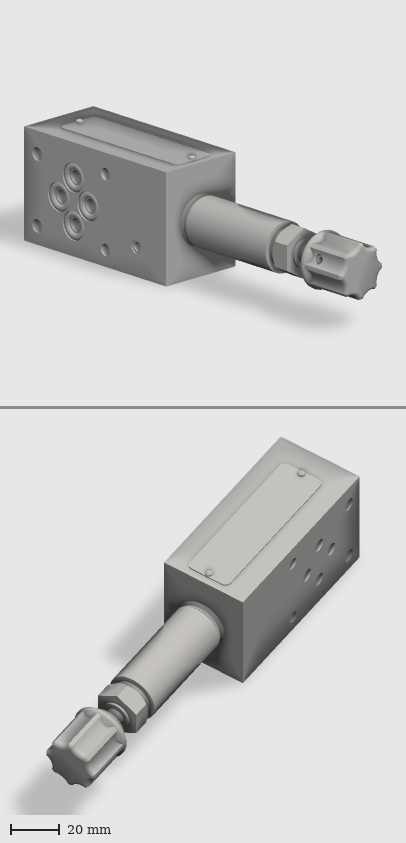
import cadquery as cq
import math

TOTAL_LENGTH = 180.9
BLOCK_LENGTH = 84.5
BLOCK_DEPTH = 39.0
BLOCK_HEIGHT = 49.0
AXIS_Y = 19.0
AXIS_Z = BLOCK_HEIGHT / 2

BOLT_X = 7.8
LEFT_BOLT_DIAMETER = 5.8
LEFT_BOLT_PITCH = 31.0
RIGHT_BOLT_DIAMETER = 5.2
RIGHT_BOLT_PITCH = 32.5
BOLT_SPACING = 40.5
BOLT_CENTRE_Z = 23.5

PORT_CENTRE_Z = BOLT_CENTRE_Z
PORT_CENTRE_FROM_BOLT = 21.5
PORT_CENTRE_X = BOLT_X + PORT_CENTRE_FROM_BOLT
PORT_OFFSET_X = 8.7
PORT_OFFSET_Z = 10.3
PORT_DIAMETER = 5.8
SEAT_DIAMETER = 12.7
SEAL_INNER_DIAMETER = 6.9
SEAT_DEPTH = 1.5
SEAL_SETBACK = 0.2
SEAL_CROWN = 0.7

PILOT_X = 66.8
PILOT_Z = 12.8
PILOT_DIAMETER = 5.8
PILOT_DEPTH = 0.5
PILOT_DRILL_DIAMETER = 4.0
PILOT_DRILL_DEPTH = 4.5
PILOT_DISH_DEPTH = 1.0

PLATE_LENGTH = 70.0
PLATE_WIDTH = 20.0
PLATE_THICKNESS = 0.5
PLATE_CORNER_RADIUS = 2.5
PLATE_CENTRE_X = 46.3
RIVET_DIAMETER = 3.0
RIVET_HEIGHT = 2.0
RIVET_SHOULDER = 1.3

COLLAR_NECK_DIAMETER = 19.9
COLLAR_TAPER_LENGTH = 1.3
SLEEVE_DIAMETER = 22.0
COLLAR_DIAMETER = SLEEVE_DIAMETER
SLEEVE_START = 88.1
SLEEVE_END = 135.1
NECK_RING_DIAMETER = 21.0
NECK_RING_START = 86.8
NECK_RING_LENGTH = 0.7
SLEEVE_NECK_DIAMETER = 17.4

NUT_START = 137.5
NUT_END = 146.2
NUT_ACROSS_FLATS = 19.0
NUT_FACE_DIAMETER = 18.8
WASHER_DIAMETER = 12.3
WASHER_THICKNESS = 1.0
SPINDLE_DIAMETER = 8.0

KNOB_START = 153.5
KNOB_FACE_DIAMETER = 17.4
FLANGE_DIAMETER = 25.0
FLANGE_START = 157.4
FLANGE_END = 158.8
FLANGE_ROUNDING = 1.0
GRIP_DIAMETER = 24.0
GRIP_END_ROUNDING = 1.6
RIB_COUNT = 8
RIB_WIDTH = 2.0
FLUTE_DEPTH = 1.3
FACE_RECESS_DIAMETER = 15.5
FACE_RECESS_DEPTH = 4.5
HUB_DIAMETER = 10.0
HUB_SETBACK = 1.5

SCREW_X = 165.2
SCREW_HOLE_DIAMETER = 4.3
SCREW_HOLE_DEPTH = 0.9
SOCKET_DIAMETER = 2.4
SOCKET_DEPTH = 1.8


def rod(start, end, diameter):
    """Solid cylinder on the adjuster axis."""
    plane = cq.Workplane("YZ", origin=(start, AXIS_Y, AXIS_Z))
    return plane.circle(diameter / 2).extrude(end - start)


def turned(points):
    """Revolve an outline of (x, radius) points about the adjuster axis."""
    outline = cq.Workplane("XY", origin=(0, AXIS_Y, AXIS_Z)).polyline(points).close()
    return outline.revolve(360, (0, 0, 0), (1, 0, 0))


def bolt_hole(x, z, diameter):
    """Cylinder running through the block from front to back."""
    return cq.Workplane("XZ", origin=(x, 0, z)).circle(diameter / 2).extrude(-BLOCK_DEPTH)


def port_cutter(x, z):
    """Port bore and seal seat, leaving the crowned seal ring standing in the seat."""
    bore_radius = PORT_DIAMETER / 2
    inner_radius = SEAL_INNER_DIAMETER / 2
    outer_radius = SEAT_DIAMETER / 2
    crest_radius = (inner_radius + outer_radius) / 2
    ring_depth = SEAL_SETBACK + SEAL_CROWN
    outline = (
        cq.Workplane("XY", origin=(x, 0, z))
        .moveTo(0, 0)
        .lineTo(outer_radius, 0)
        .lineTo(outer_radius, ring_depth)
        .threePointArc((crest_radius, SEAL_SETBACK), (inner_radius, ring_depth))
        .lineTo(inner_radius, SEAT_DEPTH)
        .lineTo(bore_radius, SEAT_DEPTH)
        .lineTo(bore_radius, BLOCK_DEPTH)
        .lineTo(0, BLOCK_DEPTH)
        .close()
    )
    return outline.revolve(360, (0, 0, 0), (0, 1, 0))


def pilot_cutter():
    """Stepped blind hole with a dished bottom."""
    rim_radius = PILOT_DIAMETER / 2
    drill_radius = PILOT_DRILL_DIAMETER / 2
    dish_radius = (drill_radius ** 2 + PILOT_DISH_DEPTH ** 2) / (2 * PILOT_DISH_DEPTH)
    outline = (
        cq.Workplane("XY", origin=(PILOT_X, 0, PILOT_Z))
        .lineTo(rim_radius, 0)
        .lineTo(rim_radius, PILOT_DEPTH)
        .lineTo(drill_radius, PILOT_DEPTH)
        .lineTo(drill_radius, PILOT_DRILL_DEPTH)
        .radiusArc((0, PILOT_DRILL_DEPTH + PILOT_DISH_DEPTH), -dish_radius)
        .close()
    )
    return outline.revolve(360, (0, 0, 0), (0, 1, 0))


def make_block():
    block = cq.Workplane("XY").box(BLOCK_LENGTH, BLOCK_DEPTH, BLOCK_HEIGHT, centered=False)
    bolt_pairs = [
        (BOLT_X, LEFT_BOLT_PITCH, LEFT_BOLT_DIAMETER),
        (BOLT_X + BOLT_SPACING, RIGHT_BOLT_PITCH, RIGHT_BOLT_DIAMETER),
    ]
    for x, pitch, diameter in bolt_pairs:
        for side in (-1, 1):
            block = block.cut(bolt_hole(x, BOLT_CENTRE_Z + side * pitch / 2, diameter))
    for side in (-1, 1):
        block = block.cut(port_cutter(PORT_CENTRE_X + side * PORT_OFFSET_X, PORT_CENTRE_Z))
        block = block.cut(port_cutter(PORT_CENTRE_X, PORT_CENTRE_Z + side * PORT_OFFSET_Z))
    return block.cut(pilot_cutter())


def make_rivet(x):
    """Short pin with a domed head."""
    radius = RIVET_DIAMETER / 2
    dome_height = RIVET_HEIGHT - RIVET_SHOULDER
    dome_radius = (radius ** 2 + dome_height ** 2) / (2 * dome_height)
    outline = (
        cq.Workplane("XZ", origin=(x, AXIS_Y, BLOCK_HEIGHT))
        .lineTo(radius, 0)
        .lineTo(radius, RIVET_SHOULDER)
        .radiusArc((0, RIVET_HEIGHT), -dome_radius)
        .close()
    )
    return outline.revolve(360, (0, 0, 0), (0, 1, 0))


def make_name_plate():
    top = cq.Workplane("XY", origin=(PLATE_CENTRE_X, AXIS_Y, BLOCK_HEIGHT))
    plate = top.rect(PLATE_LENGTH, PLATE_WIDTH).extrude(PLATE_THICKNESS)
    plate = plate.edges("|Z").fillet(PLATE_CORNER_RADIUS)
    rivet_offset = (PLATE_LENGTH - RIVET_DIAMETER) / 2
    for side in (-1, 1):
        plate = plate.union(make_rivet(PLATE_CENTRE_X + side * rivet_offset))
    return plate


def make_sleeve():
    """Tapered collar, necked ring, long sleeve and the neck behind the nut."""
    collar = turned([
        (BLOCK_LENGTH, 0),
        (BLOCK_LENGTH, COLLAR_DIAMETER / 2),
        (BLOCK_LENGTH + COLLAR_TAPER_LENGTH, COLLAR_NECK_DIAMETER / 2),
        (SLEEVE_START, COLLAR_NECK_DIAMETER / 2),
        (SLEEVE_START, 0),
    ])
    ring = rod(NECK_RING_START, NECK_RING_START + NECK_RING_LENGTH, NECK_RING_DIAMETER)
    sleeve = rod(SLEEVE_START, SLEEVE_END, SLEEVE_DIAMETER)
    neck = rod(SLEEVE_END, NUT_START, SLEEVE_NECK_DIAMETER)
    return collar.union(ring).union(sleeve).union(neck)


def make_nut():
    """Hexagon nut with corners up and down, chamfered on the sleeve side."""
    across_corners = NUT_ACROSS_FLATS / math.cos(math.pi / 6)
    nut = (
        cq.Workplane("YZ", origin=(NUT_START, AXIS_Y, AXIS_Z))
        .transformed(rotate=(0, 0, 90))
        .polygon(6, across_corners)
        .extrude(NUT_END - NUT_START)
    )
    face_radius = NUT_FACE_DIAMETER / 2
    length = NUT_END - NUT_START
    envelope = turned([
        (NUT_START, 0),
        (NUT_START, face_radius),
        (NUT_END, face_radius + length),
        (NUT_END, 0),
    ])
    return nut.intersect(envelope)


def make_knob():
    grip_radius = GRIP_DIAMETER / 2
    flange_radius = FLANGE_DIAMETER / 2

    flange = turned([
        (KNOB_START, 0),
        (KNOB_START, KNOB_FACE_DIAMETER / 2),
        (FLANGE_START, flange_radius),
        (FLANGE_END, flange_radius),
        (FLANGE_END + flange_radius, 0),
    ])
    rims = flange.edges(cq.selectors.RadiusNthSelector(-1))
    flange = rims.fillet(FLANGE_ROUNDING)

    grip = rod(FLANGE_START, TOTAL_LENGTH, GRIP_DIAMETER)
    half_rib_angle = math.asin(RIB_WIDTH / GRIP_DIAMETER)
    half_flute_angle = math.pi / RIB_COUNT - half_rib_angle
    half_chord = grip_radius * math.sin(half_flute_angle)
    chord_height = grip_radius * math.cos(half_flute_angle)
    flute_floor = chord_height - FLUTE_DEPTH
    flute = (
        cq.Workplane("YZ", origin=(FLANGE_START, AXIS_Y, AXIS_Z))
        .moveTo(-half_chord, chord_height)
        .threePointArc((0, flute_floor), (half_chord, chord_height))
        .lineTo(half_chord, flange_radius)
        .lineTo(-half_chord, flange_radius)
        .close()
        .extrude(TOTAL_LENGTH - FLANGE_START)
    )
    axis_start = (0, AXIS_Y, AXIS_Z)
    axis_end = (1, AXIS_Y, AXIS_Z)
    pitch = 360 / RIB_COUNT
    for index in range(RIB_COUNT):
        grip = grip.cut(flute.rotate(axis_start, axis_end, (index + 0.5) * pitch))
    grip = grip.faces(">X").edges().fillet(GRIP_END_ROUNDING)
    knob = flange.union(grip)

    screw = (
        cq.Workplane("XY", origin=(SCREW_X, AXIS_Y, AXIS_Z + flute_floor - SCREW_HOLE_DEPTH))
        .circle(SCREW_HOLE_DIAMETER / 2)
        .extrude(flange_radius - flute_floor + SCREW_HOLE_DEPTH)
        .faces("<Z")
        .workplane()
        .circle(SOCKET_DIAMETER / 2)
        .extrude(SOCKET_DEPTH)
    )
    knob = knob.cut(screw.rotate(axis_start, axis_end, 90 - pitch / 2))

    recess_floor = KNOB_START + FACE_RECESS_DEPTH
    recess = rod(KNOB_START, recess_floor, FACE_RECESS_DIAMETER)
    hub = rod(KNOB_START + HUB_SETBACK, recess_floor, HUB_DIAMETER)
    return knob.cut(recess.cut(hub))


washer = rod(NUT_END, NUT_END + WASHER_THICKNESS, WASHER_DIAMETER)
spindle = rod(NUT_END, KNOB_START + HUB_SETBACK, SPINDLE_DIAMETER)

result = make_block()
for piece in (make_name_plate(), make_sleeve(), make_nut(), washer, make_knob(), spindle):
    result = result.union(piece)